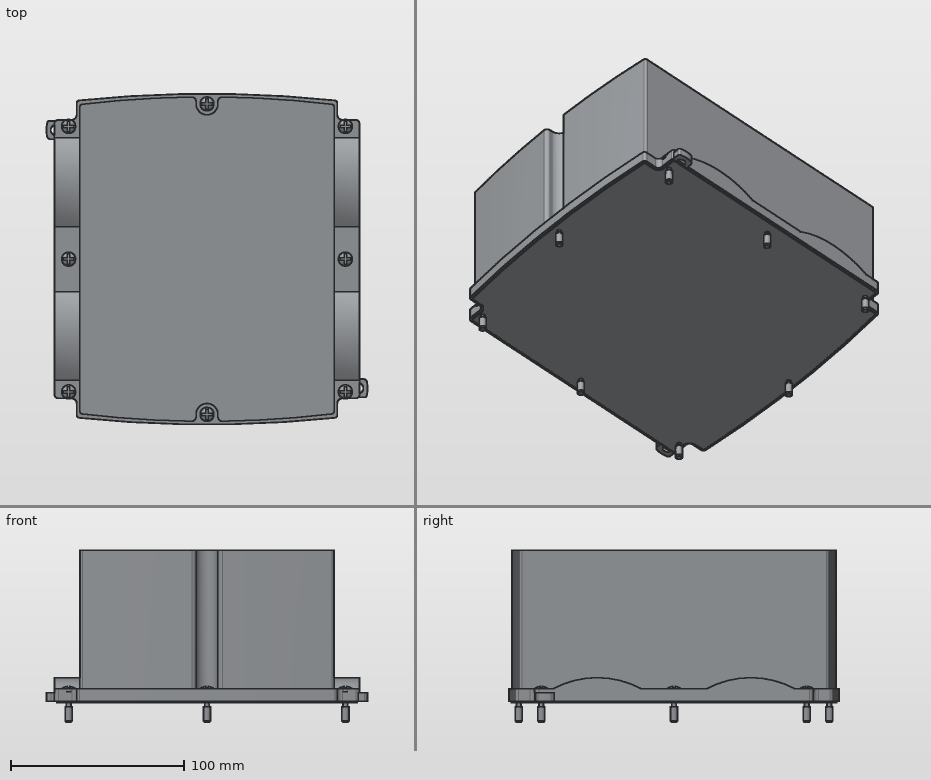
import cadquery as cq

BASE_THICKNESS = 7.2
BOX_HEIGHT = 79.9
LIP_DEPTH = 0.8
LIP_INSET = 1.3
HUMP_RISE = 6.5

LENGTH = 190.6
PANEL_HALF_WIDTH = 75.1
PANEL_CORNER_Y = 91.3
PANEL_CORNER_RADIUS = 1.7
WING_HALF_WIDTH = 87.9
WING_HALF_LENGTH = 80.3
WING_CORNER_RADIUS = 2.3
WING_ROOT_RADIUS = 2.9

BOX_HALF_WIDTH = 73.2
BOX_CORNER_Y = 89.0
BOX_MIDDLE_Y = 93.4
BOX_CORNER_RADIUS = 1.5
NOTCH_RADIUS = 6.3
NOTCH_MOUTH_RADIUS = 2.5

HUMP_CENTER_Y = 44.2
HUMP_SPAN = 51.0

WIDTH_OVER_TABS = 185.0
TAB_THICKNESS = 5.1
TAB_REACH = WIDTH_OVER_TABS / 2
TAB_BOW = 0.8
TAB_CENTER_Y = 74.3
TAB_WIDTH = 10.7
TAB_ROOT_X = 83.0
TAB_OUTER_RADIUS = 1.5
TAB_INNER_RADIUS = 2.3
TAB_HOLE_X = 87.0
TAB_HOLE_RADIUS = 3.0

SCREW_X = 79.7
SCREW_CORNER_Y = 76.5
SCREW_END_Y = 89.4
SCREW_TIP_Z = -11.8
NECK_RADIUS = 1.43
NECK_LENGTH = 2.3
THREAD_RADIUS = 2.1
THREAD_CHAMFER = 0.8
HEAD_RADIUS = 4.0
HEAD_SINK = 1.7
HEAD_RISE = 1.5
RECESS_WIDTH = 1.3
RECESS_LENGTH = 6.1
RECESS_DEPTH = 1.1

SELECT_MARGIN = 0.2


def bowed_prism(half_width, corner_y, middle_y, height):
    """Prism with straight long sides and outward-curving ends."""
    return (
        cq.Workplane("XY")
        .moveTo(-half_width, -corner_y)
        .threePointArc((0, -middle_y), (half_width, -corner_y))
        .lineTo(half_width, corner_y)
        .threePointArc((0, middle_y), (-half_width, corner_y))
        .close()
        .extrude(height)
    )


def vertical_edges_at(x, y):
    """Select the vertical edges mirrored into all four quadrants at (x, y)."""
    selector = None
    for sx in (-1, 1):
        for sy in (-1, 1):
            corner = cq.selectors.BoxSelector(
                (sx * x - SELECT_MARGIN, sy * y - SELECT_MARGIN, -LENGTH),
                (sx * x + SELECT_MARGIN, sy * y + SELECT_MARGIN, LENGTH),
            )
            selector = corner if selector is None else selector + corner
    return selector


def make_base():
    panel = bowed_prism(PANEL_HALF_WIDTH, PANEL_CORNER_Y, LENGTH / 2, BASE_THICKNESS)
    wings = cq.Workplane("XY").box(
        2 * WING_HALF_WIDTH, 2 * WING_HALF_LENGTH, BASE_THICKNESS, centered=(True, True, False)
    )
    base = panel.union(wings)
    base = base.edges(vertical_edges_at(PANEL_HALF_WIDTH, PANEL_CORNER_Y)).fillet(PANEL_CORNER_RADIUS)
    base = base.edges(vertical_edges_at(PANEL_HALF_WIDTH, WING_HALF_LENGTH)).fillet(WING_ROOT_RADIUS)
    base = base.edges(vertical_edges_at(WING_HALF_WIDTH, WING_HALF_LENGTH)).fillet(WING_CORNER_RADIUS)
    lip = base.faces("<Z").wires().toPending().offset2D(-LIP_INSET).extrude(-LIP_DEPTH, combine=False)
    return base.union(lip)


def make_box():
    box = bowed_prism(BOX_HALF_WIDTH, BOX_CORNER_Y, BOX_MIDDLE_Y, BOX_HEIGHT)
    box = box.edges("|Z").fillet(BOX_CORNER_RADIUS)
    notch_length = 4 * NOTCH_RADIUS
    round_end_y = SCREW_END_Y - NOTCH_RADIUS
    mouth_x = NOTCH_RADIUS + SELECT_MARGIN
    for side in (-1, 1):
        notch = (
            cq.Workplane("XY")
            .center(0, side * (round_end_y + notch_length / 2))
            .slot2D(notch_length, 2 * NOTCH_RADIUS, 90)
            .extrude(BOX_HEIGHT)
        )
        box = box.cut(notch)
        mouth = cq.selectors.BoxSelector(
            (-mouth_x, side * (SCREW_END_Y + SELECT_MARGIN), 0), (mouth_x, side * LENGTH, BOX_HEIGHT)
        )
        box = box.edges("|Z").edges(mouth).fillet(NOTCH_MOUTH_RADIUS)
    return box.translate((0, 0, BASE_THICKNESS))


def make_hump(center_y):
    return (
        cq.Workplane("YZ")
        .moveTo(center_y - HUMP_SPAN / 2, BASE_THICKNESS)
        .threePointArc(
            (center_y, BASE_THICKNESS + HUMP_RISE),
            (center_y + HUMP_SPAN / 2, BASE_THICKNESS),
        )
        .close()
        .extrude(WING_HALF_WIDTH, both=True)
    )


def make_tab():
    """Tab on the -X, +Y corner, pierced by a hole beside the wing edge."""
    low_y = TAB_CENTER_Y - TAB_WIDTH / 2
    high_y = TAB_CENTER_Y + TAB_WIDTH / 2
    side_x = -(TAB_REACH - TAB_BOW)
    tab = (
        cq.Workplane("XY")
        .moveTo(-TAB_ROOT_X, low_y)
        .lineTo(side_x, low_y)
        .threePointArc((-TAB_REACH, TAB_CENTER_Y), (side_x, high_y))
        .lineTo(-TAB_ROOT_X, high_y)
        .close()
        .extrude(TAB_THICKNESS)
    )
    tab = tab.edges("|Z").edges(">Y").edges("<X").fillet(TAB_OUTER_RADIUS)
    tab = tab.edges("|Z").edges("<Y").edges("<X").fillet(TAB_INNER_RADIUS)
    hole = (
        cq.Workplane("XY")
        .center(-TAB_HOLE_X, TAB_CENTER_Y)
        .circle(TAB_HOLE_RADIUS)
        .extrude(TAB_THICKNESS)
    )
    return tab.cut(hole)


def make_screw():
    """Cross-recessed screw whose domed head is sunk into the top of the base."""
    shoulder_z = -LIP_DEPTH - NECK_LENGTH
    top_z = BASE_THICKNESS + HEAD_RISE
    dome_radius = (HEAD_RADIUS**2 + HEAD_RISE**2) / (2 * HEAD_RISE)
    return (
        cq.Workplane("XZ")
        .moveTo(0, SCREW_TIP_Z)
        .lineTo(THREAD_RADIUS - THREAD_CHAMFER, SCREW_TIP_Z)
        .lineTo(THREAD_RADIUS, SCREW_TIP_Z + THREAD_CHAMFER)
        .lineTo(THREAD_RADIUS, shoulder_z)
        .lineTo(NECK_RADIUS, shoulder_z)
        .lineTo(NECK_RADIUS, BASE_THICKNESS - HEAD_SINK)
        .lineTo(HEAD_RADIUS, BASE_THICKNESS - HEAD_SINK)
        .lineTo(HEAD_RADIUS, BASE_THICKNESS)
        .radiusArc((0, top_z), -dome_radius)
        .close()
        .revolve(360, (0, 0, 0), (0, 1, 0))
    )


def make_recess():
    """Cross cut into the top of a screw head."""
    floor_z = BASE_THICKNESS + HEAD_RISE - RECESS_DEPTH
    centered = (True, True, False)
    arm = cq.Workplane("XY").box(RECESS_LENGTH, RECESS_WIDTH, 2 * RECESS_DEPTH, centered=centered)
    cross = arm.union(arm.rotate((0, 0, 0), (0, 0, 1), 90))
    return cross.translate((0, 0, floor_z))


result = make_base().union(make_box())

for hump_y in (-HUMP_CENTER_Y, HUMP_CENTER_Y):
    result = result.union(make_hump(hump_y))

for tab_angle in (0, 180):
    result = result.union(make_tab().rotate((0, 0, 0), (0, 0, 1), tab_angle))

screw_points = [(x, y) for x in (-SCREW_X, SCREW_X) for y in (-SCREW_CORNER_Y, 0, SCREW_CORNER_Y)]
screw_points += [(0, -SCREW_END_Y), (0, SCREW_END_Y)]
for x, y in screw_points:
    result = result.union(make_screw().translate((x, y, 0)))
    result = result.cut(make_recess().translate((x, y, 0)))